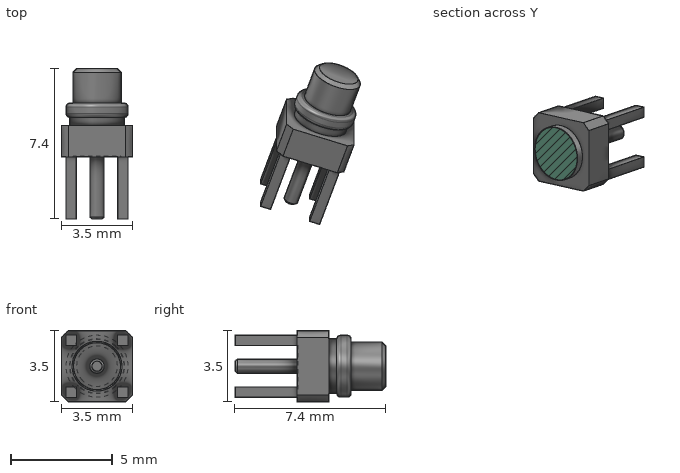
import cadquery as cq

total_length = 7.4

body_width = 3.5
body_length = 1.555
body_bevel = 0.34

recess_mouth_diameter = 2.45
recess_floor_diameter = 2.3
recess_depth = 0.04

collar_diameter = 2.7
collar_length = 0.385
ring_diameter = 3.05
ring_length = 0.71
ring_fillet = 0.2
barrel_diameter = 2.38
barrel_length = 1.7
barrel_chamfer = 0.19

leg_width = 0.52
leg_spacing = 2.545
center_pin_diameter = 0.7
center_pin_chamfer = 0.1

collar_start = body_length
ring_start = collar_start + collar_length
barrel_start = ring_start + ring_length
barrel_end = barrel_start + barrel_length
pin_length = total_length - barrel_end


def plane_at(y):
    """Plane square to the connector axis at station y, with its normal along +Y."""
    return cq.Workplane(cq.Plane(origin=(0, y, 0), xDir=(1, 0, 0), normal=(0, 1, 0)))


def cylinder(diameter, start, length):
    return plane_at(start).circle(diameter / 2).extrude(length)


def make_body():
    block = plane_at(0).rect(body_width, body_width).extrude(body_length)
    block = block.edges("|Y").chamfer(body_bevel)
    recess = (
        plane_at(0)
        .circle(recess_mouth_diameter / 2)
        .workplane(offset=recess_depth)
        .circle(recess_floor_diameter / 2)
        .loft()
    )
    return block.cut(recess)


def make_barrel():
    collar = cylinder(collar_diameter, collar_start, collar_length)
    ring = cylinder(ring_diameter, ring_start, ring_length).edges("%CIRCLE").fillet(ring_fillet)
    barrel = cylinder(barrel_diameter, barrel_start, barrel_length)
    barrel = barrel.faces(">Y").chamfer(barrel_chamfer)
    return collar.union(ring).union(barrel)


def make_legs():
    return (
        plane_at(-pin_length)
        .rarray(leg_spacing, leg_spacing, 2, 2)
        .rect(leg_width, leg_width)
        .extrude(pin_length)
    )


def make_center_pin():
    pin = cylinder(center_pin_diameter, -pin_length, pin_length + recess_depth)
    return pin.faces("<Y").chamfer(center_pin_chamfer)


result = make_body().union(make_barrel()).union(make_legs()).union(make_center_pin())